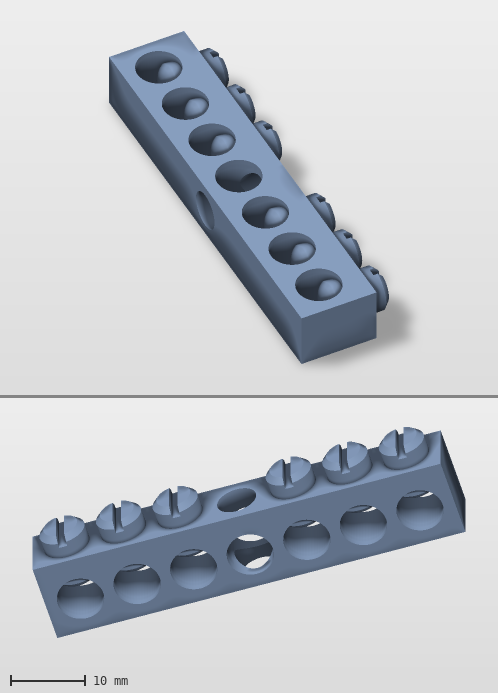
import cadquery as cq
import math

bar_length = 57.15
bar_depth = 11.25
bar_height = 8.4

hole_count = 7
end_hole_inset = 4.8
wire_hole_diameter = 6.35
wire_hole_y = 5.05
mounting_hole_diameter = 5.5

screw_diameter = wire_hole_diameter
screw_protrusion = 3.1
shank_depth = 4.45
tip_height = 1.6
head_chamfer = 0.8
slot_width = 1.15
slot_depth = 1.45

hole_pitch = (bar_length - 2 * end_hole_inset) / (hole_count - 1)
middle_hole = hole_count // 2
hole_xs = [(i - middle_hole) * hole_pitch for i in range(hole_count)]
screw_xs = [x for x in hole_xs if x != hole_xs[middle_hole]]

screw_radius = screw_diameter / 2
head_y = bar_depth + screw_protrusion
shank_end_y = bar_depth - shank_depth
tip_y = shank_end_y - tip_height
tip_sphere_radius = (screw_radius**2 + tip_height**2) / (2 * tip_height)
half_tip_angle = math.asin(screw_radius / tip_sphere_radius) / 2
dome_mid_x = tip_sphere_radius * math.sin(half_tip_angle)
dome_mid_y = tip_y + tip_sphere_radius * (1 - math.cos(half_tip_angle))


def make_screw_blank(x):
    """Chamfered cylinder with a domed tip, revolved about the screw axis."""
    profile = (
        cq.Workplane("XY")
        .moveTo(0, tip_y)
        .threePointArc((dome_mid_x, dome_mid_y), (screw_radius, shank_end_y))
        .lineTo(screw_radius, head_y - head_chamfer)
        .lineTo(screw_radius - head_chamfer, head_y)
        .lineTo(0, head_y)
        .close()
    )
    return profile.revolve(360, (0, 0, 0), (0, 1, 0)).translate((x, 0, 0))


def make_screw(x):
    """Screw with a straight driver slot running along Z across its head."""
    slot = cq.Workplane("XY").box(slot_width, slot_depth, screw_diameter)
    return make_screw_blank(x).cut(slot.translate((x, head_y - slot_depth / 2, 0)))


def make_bar():
    """Block with wire holes, a mounting hole through its middle and screw holes in its back."""
    bar = cq.Workplane("XY").box(bar_length, bar_depth, bar_height).translate((0, bar_depth / 2, 0))

    wire_holes = (
        cq.Workplane("XY", origin=(0, wire_hole_y, -bar_height / 2))
        .pushPoints([(x, 0) for x in hole_xs])
        .circle(wire_hole_diameter / 2)
        .extrude(bar_height)
    )
    mounting_hole = cq.Workplane("XZ").circle(mounting_hole_diameter / 2).extrude(-bar_depth)
    bar = bar.cut(wire_holes).cut(mounting_hole)

    for x in screw_xs:
        bar = bar.cut(make_screw_blank(x))
    return bar


bar = make_bar()
screws = [make_screw(x) for x in screw_xs]

result = cq.Compound.makeCompound([bar.val(), *[screw.val() for screw in screws]])